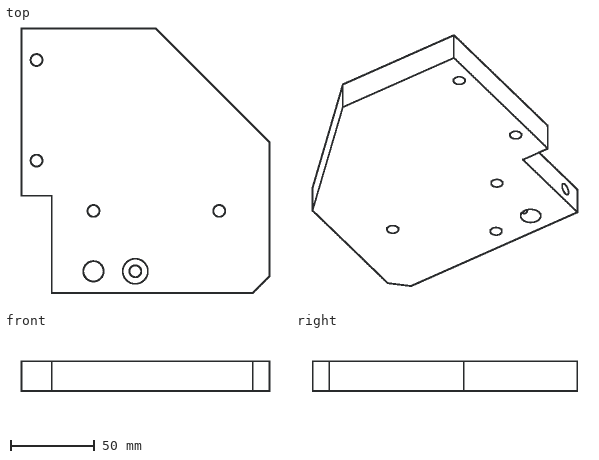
import cadquery as cq

width = 148.0
length = 158.0
thickness = 18.0
notch_width = 18.0
notch_length = 58.0
large_corner_cut = 68.0
small_corner_cut = 10.0

bolt_diameter = 7.0
edge_bolt_x = notch_width / 2
edge_bolt_top_offset = 19.0
edge_bolt_spacing = 60.0
inner_bolt_x = 43.0
inner_bolt_y = 49.0
inner_bolt_spacing = 75.0
pin_diameter = 12.0
pin_y = 13.0
counterbore_diameter = 15.0
counterbore_depth = 5.0
counterbore_spacing = 25.0
cross_hole_depth = 40.0


def plate():
    outline = [
        (0, notch_length),
        (notch_width, notch_length),
        (notch_width, 0),
        (width - small_corner_cut, 0),
        (width, small_corner_cut),
        (width, length - large_corner_cut),
        (width - large_corner_cut, length),
        (0, length),
    ]
    return cq.Workplane("XY").polyline(outline).close().extrude(thickness)


def vertical_holes(centres, diameter):
    return cq.Workplane("XY").pushPoints(centres).circle(diameter / 2).extrude(thickness)


edge_bolt_y = length - edge_bolt_top_offset
counterbore_centre = (inner_bolt_x + counterbore_spacing, pin_y)
bolt_centres = [
    (edge_bolt_x, edge_bolt_y),
    (edge_bolt_x, edge_bolt_y - edge_bolt_spacing),
    (inner_bolt_x, inner_bolt_y),
    (inner_bolt_x + inner_bolt_spacing, inner_bolt_y),
    counterbore_centre,
]
bolt_holes = vertical_holes(bolt_centres, bolt_diameter)
pin_hole = vertical_holes([(inner_bolt_x, pin_y)], pin_diameter)

counterbore = (
    cq.Workplane("XY", origin=(0, 0, thickness - counterbore_depth))
    .center(*counterbore_centre)
    .circle(counterbore_diameter / 2)
    .extrude(counterbore_depth)
)

cross_hole = (
    cq.Workplane("YZ", origin=(notch_width, pin_y, thickness / 2))
    .circle(bolt_diameter / 2)
    .extrude(cross_hole_depth)
)

result = plate().cut(bolt_holes).cut(pin_hole).cut(counterbore).cut(cross_hole)